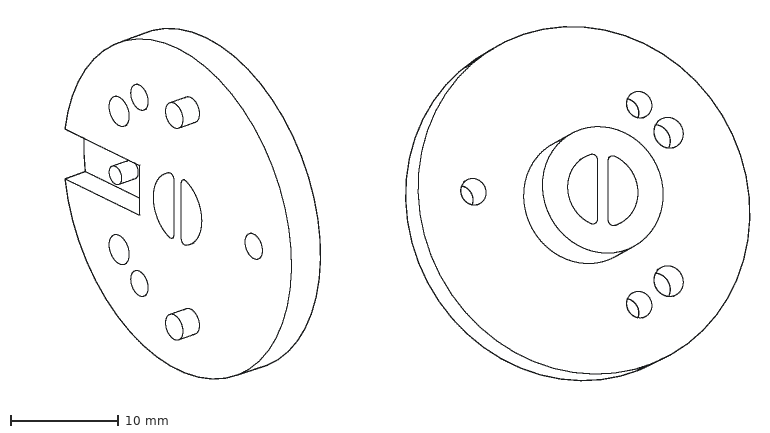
import cadquery as cq
import math

disc_diameter = 33
disc_thickness = 3.5
rim_draft = 0.063

hub_diameter = 12.0
hub_length = 4.98
opening_diameter = 7.0
web_width = 1.05
opening_corner_radius = 0.5

pitch_radius = 11.0
small_hole_diameter = 2.5
small_hole_angles = (0, 120, 240)
large_hole_diameter = 2.9
large_hole_angles = (140, 220)
pin_diameter = 2.5
pin_length = 2.0
pin_angles = (80, 280)

pocket_width = 5.08
pocket_depth = 2.5
pocket_end_x = -5.5
pocket_pin_diameter = 1.8
pocket_pin_length = 2.0
pocket_pin_x = -9.55

back_y = disc_thickness + hub_length
y_direction = cq.Vector(0, 1, 0)


def cylinder(diameter, start_y, end_y, x=0, z=0):
    """Cylinder along Y between two Y positions."""
    base = cq.Vector(x, start_y, z)
    return cq.Workplane(cq.Solid.makeCylinder(diameter / 2, end_y - start_y, base, y_direction))


def pitch_cylinders(diameter, angles, start_y, end_y):
    """Cylinders along Y placed on the pitch circle."""
    group = cq.Workplane()
    for angle in angles:
        x = pitch_radius * math.cos(math.radians(angle))
        z = pitch_radius * math.sin(math.radians(angle))
        group = group.add(cylinder(diameter, start_y, end_y, x, z))
    return group.combine()


def disc():
    """Disc whose rim tapers slightly towards the front face."""
    back_radius = disc_diameter / 2
    front_radius = back_radius - rim_draft
    center = cq.Vector(0, 0, 0)
    return cq.Workplane(cq.Solid.makeCone(front_radius, back_radius, disc_thickness, center, y_direction))


def split_opening():
    """Two D-shaped openings with rounded corners, one on each side of the web."""
    web = cq.Workplane().box(web_width, 2 * back_y, opening_diameter)
    halves = cylinder(opening_diameter, 0, back_y).cut(web)
    return halves.edges("|Y").fillet(opening_corner_radius)


def pocket():
    """Rectangular pocket running out through the rim."""
    length = disc_diameter / 2 + pocket_end_x
    block = cq.Workplane().box(length, pocket_depth, pocket_width, centered=(False, False, True))
    return block.translate((-disc_diameter / 2, 0, 0))


body = disc().union(cylinder(hub_diameter, disc_thickness, back_y))
body = body.cut(split_opening()).cut(pocket())
body = body.cut(pitch_cylinders(small_hole_diameter, small_hole_angles, 0, disc_thickness))
body = body.cut(pitch_cylinders(large_hole_diameter, large_hole_angles, 0, disc_thickness))
body = body.union(pitch_cylinders(pin_diameter, pin_angles, -pin_length, 0))
pocket_pin = cylinder(pocket_pin_diameter, pocket_depth - pocket_pin_length, pocket_depth, pocket_pin_x)
result = body.union(pocket_pin)